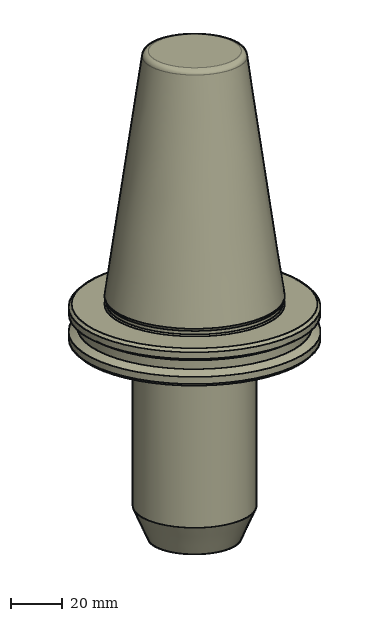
import cadquery as cq
import math

total_height = 201.8
gauge_z = 100.0
relief_z = 98.9
flange_top_z = 96.8
flange_bottom_z = 81.3
nose_cone_height = 13.3

gauge_radius = 35.0
taper_half_ratio = 7 / 48
relief_radius = 34.3
flange_radius = 97.5 / 2
groove_floor_radius = 45.4
neck_radius = 24.0
nose_radius = 18.2

top_round = 2.5
neck_fillet = 3.2
rim_chamfer = 1.2
relief_flare = 0.6
groove_mid_z = 89.2
groove_floor_width = 3.6
groove_wall_angle = 30

taper_top_radius = gauge_radius - (total_height - gauge_z) * taper_half_ratio
groove_depth = flange_radius - groove_floor_radius
groove_mouth_width = groove_floor_width + 2 * groove_depth * math.tan(math.radians(groove_wall_angle))


def revolve_profile(profile):
    """Turn a closed radius-height outline about the Z axis."""
    return profile.close().revolve(360, (0, 0, 0), (0, 1, 0))


def make_taper():
    """Tapered shank with a rounded top edge and a relief that flares into the flange."""
    taper = revolve_profile(
        cq.Workplane("XZ")
        .moveTo(0, flange_top_z)
        .lineTo(relief_radius + relief_flare, flange_top_z)
        .lineTo(relief_radius, flange_top_z + relief_flare)
        .lineTo(relief_radius, relief_z)
        .lineTo(gauge_radius, gauge_z)
        .lineTo(taper_top_radius, total_height)
        .lineTo(0, total_height)
    )
    return taper.faces(">Z").edges().fillet(top_round)


def make_flange():
    """Chamfered disc with a V-sided gripper groove around its rim."""
    flange = (
        cq.Workplane("XY", origin=(0, 0, flange_bottom_z))
        .circle(flange_radius)
        .extrude(flange_top_z - flange_bottom_z)
        .edges()
        .chamfer(rim_chamfer)
    )
    groove = revolve_profile(
        cq.Workplane("XZ")
        .moveTo(groove_floor_radius, groove_mid_z - groove_floor_width / 2)
        .lineTo(flange_radius, groove_mid_z - groove_mouth_width / 2)
        .lineTo(flange_radius, groove_mid_z + groove_mouth_width / 2)
        .lineTo(groove_floor_radius, groove_mid_z + groove_floor_width / 2)
    )
    return flange.cut(groove)


def make_neck():
    """Cylindrical neck with a fillet under the flange and a conical nose."""
    return revolve_profile(
        cq.Workplane("XZ")
        .lineTo(nose_radius, 0)
        .lineTo(neck_radius, nose_cone_height)
        .lineTo(neck_radius, flange_bottom_z - neck_fillet)
        .radiusArc((neck_radius + neck_fillet, flange_bottom_z), neck_fillet)
        .lineTo(0, flange_bottom_z)
    )


result = make_neck().union(make_flange()).union(make_taper())